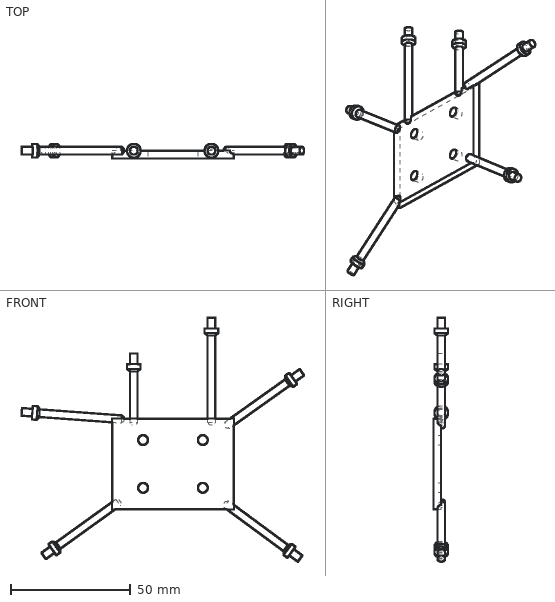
import cadquery as cq
import math

PLATE_WIDTH = 51.0
PLATE_HEIGHT = 38.0
PLATE_THICKNESS = 3.3
HOLE_DIAMETER = 4.0
HOLE_SPACING_X = 25.0
HOLE_SPACING_Z = 20.0

ROD_RADIUS = 3.3 / 2
COLLAR_RADIUS = 5.8 / 2
STUB_LENGTH = 4.5
COLLAR_LENGTH = 2.0
CONE_LENGTH = 1.0
ROOT_CHAMFER = 1.0

ARMS = [
    (16.1, 61.3, 90.0, 45.0),
    (-16.4, 46.3, 90.0, 30.0),
    (-63.38, 21.8, 175.8, 43.0),
    (54.0, 38.4, 35.4, 39.4),
    (-54.15, -38.55, 215.7, 39.4),
    (53.25, -39.65, -36.4, 39.4),
]


def make_plate():
    holes = (
        cq.Workplane("XZ")
        .rarray(HOLE_SPACING_X, HOLE_SPACING_Z, 2, 2)
        .circle(HOLE_DIAMETER / 2)
        .extrude(PLATE_THICKNESS)
    )
    plate = cq.Workplane("XZ").rect(PLATE_WIDTH, PLATE_HEIGHT).extrude(PLATE_THICKNESS)
    return plate.cut(holes)


def make_arm(tip_x, tip_z, angle, length):
    """Revolve the arm's half profile about its axis, tip at the given point."""
    collar_end = length - STUB_LENGTH
    collar_start = collar_end - COLLAR_LENGTH
    cone_start = collar_start - CONE_LENGTH
    profile = (
        cq.Workplane("XY")
        .moveTo(0, 0)
        .lineTo(0, ROD_RADIUS - ROOT_CHAMFER)
        .lineTo(ROOT_CHAMFER, ROD_RADIUS)
        .lineTo(cone_start, ROD_RADIUS)
        .lineTo(collar_start, COLLAR_RADIUS)
        .lineTo(collar_end, COLLAR_RADIUS)
        .lineTo(collar_end, ROD_RADIUS)
        .lineTo(length, ROD_RADIUS)
        .lineTo(length, 0)
        .close()
    )
    arm = profile.revolve(axisStart=(0, 0, 0), axisEnd=(1, 0, 0))
    root_x = tip_x - length * math.cos(math.radians(angle))
    root_z = tip_z - length * math.sin(math.radians(angle))
    return arm.rotate((0, 0, 0), (0, 1, 0), -angle).translate((root_x, 0, root_z))


result = make_plate()
for arm_placement in ARMS:
    result = result.union(make_arm(*arm_placement))